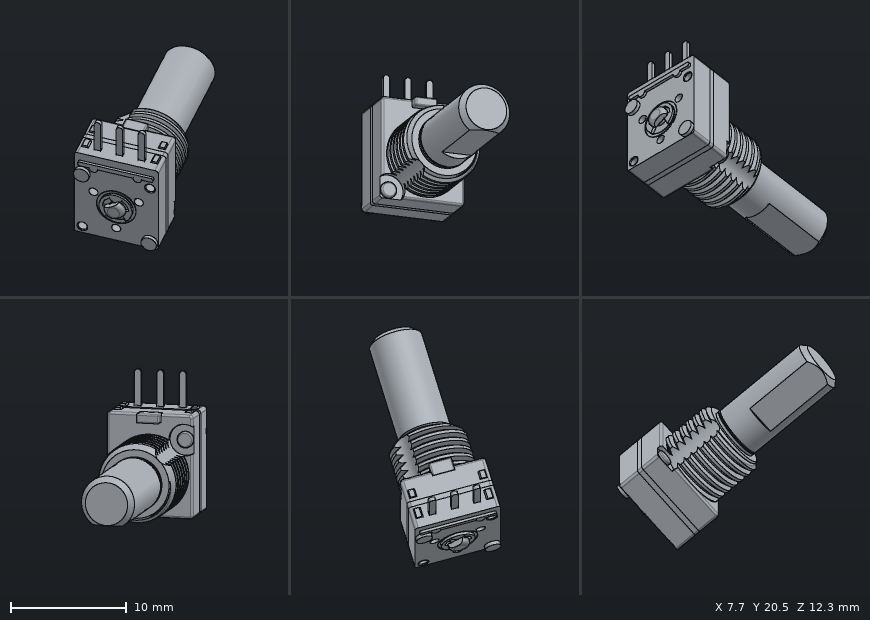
import cadquery as cq
import math


case_width = 7.7
case_top = 5.3
case_bottom = -3.83
top_corner_radius = 0.3
bottom_corner_radius = 0.25
cover_front = 2.05
plate_thickness = 0.5
housing_rear = cover_front + plate_thickness
housing_front = 4.78
housing_edge_fillet = 0.2

corner_offset = 3.1
rivet_corners = [(-corner_offset, corner_offset), (corner_offset, -corner_offset)]
hole_corners = [(corner_offset, corner_offset), (-corner_offset, -corner_offset)]
shank_radius = 0.4
corner_hole_radius = 0.4
corner_hole_chamfer = 0.08
rivet_head_radius = 0.72
rear_head_height = 0.35
front_head_height = 0.33
front_head_fillet = 0.12
rivet_recess_radius = 1.4
rivet_recess_depth = 0.45
rivet_seat = housing_front - rivet_recess_depth

tab_outer = 3.48
tab_inner = 2.85
tab_outer_draft = 0.06
tab_inner_draft = 0.12
tab_height = 0.18
cover_tab_rear = 0.88
cover_tab_length = 0.88
housing_tab_rear = 2.85
housing_tab_length = 0.72

lug_width = 2.05
lug_rise = 0.06
lug_bottom = 4.55
lug_reach = 0.78
lug_rear = rivet_seat
lug_fillet = 0.12

bushing_radius = 3.5
bushing_front = 9.78
bushing_chamfer = 0.5
thread_pitch = 2.25 / 3
thread_crest = 0.29
thread_half_angle = math.radians(30)
thread_depth = (thread_pitch - thread_crest) / 2 / math.tan(thread_half_angle)
thread_start = 4.04
thread_turns = 9

shaft_radius = 2.38
tip_rear = -0.74
shaft_front = tip_rear + 20.5
shaft_end_chamfer = 0.5
shaft_flat_z = -1.95
shaft_flat_rear = 12.75
neck_rear = 10.05
neck_front = 10.25
neck_radius = 2.25
journal_radius = 1.4
tip_radius = 0.96
tip_round = 0.4
tip_half_width = 0.64
tip_angle = 29

clip_seat_depth = 0.1
clip_seat_radius = 1.8
clip_radius = 1.52
clip_rear = -0.18
journal_clearance = 0.05
clip_groove_radius = tip_half_width
clip_void_radius = 1.19
clip_void_angles = (31, 149)
clip_void_inner_half = 0.45
clip_void_inner_reach = 0.51
clip_void_outer_half = 0.68
clip_void_outer_reach = 1.23
clip_gap_inner_half = 0.33
clip_gap_outer_half = 1.15

bar_half_length = 3.45
bar_bottom = 4.08
bar_top = 4.5
bar_height = 0.25
bar_corner_radius = 0.16
bump_radius = 0.39
rear_hole_radius = 0.4
rear_hole_circle = 2.4
rear_hole_angles = (30, 150, 270)

pin_spacing = 2.0
pin_positions = (-pin_spacing, 0, pin_spacing)
pin_width = 0.6
pin_thickness = 0.35
pin_rear = 0.86
pin_top = 8.5
pin_bottom = bar_bottom


def cylinder(radius, rear, front, x=0, z=0):
    """Cylinder parallel to the shaft between two Y positions."""
    return cq.Workplane("XZ", origin=(x, rear, z)).circle(radius).extrude(rear - front)


def block(x_min, x_max, rear, front, z_min, z_max):
    size = (x_max - x_min, front - rear, z_max - z_min)
    return cq.Workplane("XY", origin=(x_min, rear, z_min)).box(*size, centered=False)


def case_slice(rear, front):
    """Length of the case with rounded corners."""
    half = case_width / 2
    body = block(-half, half, rear, front, case_bottom, case_top)
    body = body.edges("|Y and >Z").fillet(top_corner_radius)
    return body.edges("|Y and <Z").fillet(bottom_corner_radius)


def drill_rivet_holes(body, rear, front):
    for x, z in rivet_corners:
        body = body.cut(cylinder(shank_radius, rear, front, x, z))
    return body


def top_tabs(rear, length):
    """Pair of low tabs with sloped sides, rooted in the top face."""
    z_top = case_top + tab_height
    right = (
        cq.Workplane("XZ", origin=(0, rear, 0))
        .moveTo(tab_inner, case_top - tab_height)
        .lineTo(tab_inner, case_top)
        .lineTo(tab_inner + tab_inner_draft, z_top)
        .lineTo(tab_outer - tab_outer_draft, z_top)
        .lineTo(tab_outer, case_top)
        .lineTo(tab_outer, case_top - tab_height)
        .close()
        .extrude(-length)
    )
    return right.union(right.mirror("YZ"))


def make_pin(x):
    """Flat pin with a fully rounded upper end."""
    half = pin_width / 2
    pin_front = pin_rear + pin_thickness
    tip_center = pin_top - half
    pin = block(x - half, x + half, pin_rear, pin_front, pin_bottom, tip_center)
    return pin.union(cylinder(half, pin_rear, pin_front, x, tip_center))


def make_cover():
    cover = case_slice(0, cover_front)
    cover = cover.union(top_tabs(cover_tab_rear, cover_tab_length))

    bar = block(-bar_half_length, bar_half_length, -bar_height, 0, bar_bottom, bar_top)
    bar = bar.edges("|Y").fillet(bar_corner_radius)
    for x in (-pin_spacing, pin_spacing):
        bar = bar.union(cylinder(bump_radius, -bar_height, 0, x, bar_bottom))
    cover = cover.union(bar)

    cover = cover.cut(cylinder(journal_radius + journal_clearance, 0, cover_front))
    cover = cover.cut(cylinder(clip_seat_radius, 0, clip_seat_depth))

    for angle in rear_hole_angles:
        x = rear_hole_circle * math.cos(math.radians(angle))
        z = rear_hole_circle * math.sin(math.radians(angle))
        cover = cover.cut(cylinder(rear_hole_radius, 0, cover_front, x, z))

    cover = drill_rivet_holes(cover, 0, cover_front)
    mouth_radius = corner_hole_radius + corner_hole_chamfer
    for x, z in hole_corners:
        cover = cover.cut(cylinder(corner_hole_radius, 0, cover_front, x, z))
        position = cq.Vector(x, 0, z)
        along_shaft = cq.Vector(0, 1, 0)
        countersink = cq.Solid.makeCone(
            mouth_radius, corner_hole_radius, corner_hole_chamfer, position, along_shaft
        )
        cover = cover.cut(cq.Workplane(countersink))

    for x in pin_positions:
        cover = cover.cut(make_pin(x))
    return cover


def make_plate():
    """Thin plate clamped between cover and housing."""
    plate = case_slice(cover_front, housing_rear)
    plate = plate.cut(cylinder(journal_radius + journal_clearance, cover_front, housing_rear))
    return drill_rivet_holes(plate, cover_front, housing_rear)


def threaded_bar():
    """Bar longer than the bushing with a right-handed, sharp V groove wound inside its length."""
    overshoot = 0.1
    mouth_half = (thread_depth + overshoot) * math.tan(thread_half_angle)
    root_radius = bushing_radius - thread_depth
    mouth_radius = bushing_radius + overshoot
    helix = cq.Wire.makeHelix(thread_pitch, thread_pitch * thread_turns, root_radius)
    groove = (
        cq.Workplane("XZ")
        .moveTo(root_radius, 0)
        .lineTo(mouth_radius, -mouth_half)
        .lineTo(mouth_radius, mouth_half)
        .close()
        .sweep(cq.Workplane(helix), isFrenet=True)
    )
    groove = groove.rotate((0, 0, 0), (1, 0, 0), -90).translate((0, thread_start, 0))
    thread_end = thread_start + thread_turns * thread_pitch
    bar = cylinder(bushing_radius, thread_start - thread_pitch, thread_end + thread_pitch)
    return bar.cut(groove)


def make_housing():
    housing = case_slice(housing_rear, housing_front)
    housing = housing.faces(">Y").edges().fillet(housing_edge_fillet)
    housing = housing.union(top_tabs(housing_tab_rear, housing_tab_length))

    lug_front = housing_front + lug_reach
    lug = block(-lug_width / 2, lug_width / 2, lug_rear, lug_front, lug_bottom, case_top + lug_rise)
    lug = lug.edges("|Y or >Y").fillet(lug_fillet)
    housing = housing.union(lug)

    bushing = cylinder(bushing_radius, housing_front, bushing_front)
    bushing = bushing.faces(">Y").chamfer(bushing_chamfer)
    housing = housing.union(bushing.intersect(threaded_bar()))

    housing = housing.cut(cylinder(shaft_radius, housing_rear, bushing_front))
    for x, z in rivet_corners:
        housing = housing.cut(cylinder(rivet_recess_radius, rivet_seat, bushing_front, x, z))
    return drill_rivet_holes(housing, housing_rear, housing_front)


def make_shaft():
    round_middle = tip_round * math.sqrt(0.5)
    dome = (tip_radius - tip_round + round_middle, tip_rear + tip_round - round_middle)
    shaft = (
        cq.Workplane("XY")
        .moveTo(0, tip_rear)
        .lineTo(tip_radius - tip_round, tip_rear)
        .threePointArc(dome, (tip_radius, tip_rear + tip_round))
        .lineTo(tip_radius, clip_rear)
        .lineTo(clip_groove_radius, clip_rear)
        .lineTo(clip_groove_radius, clip_seat_depth)
        .lineTo(journal_radius, clip_seat_depth)
        .lineTo(journal_radius, housing_rear)
        .lineTo(shaft_radius, housing_rear)
        .lineTo(shaft_radius, neck_rear)
        .lineTo(neck_radius, neck_rear)
        .lineTo(neck_radius, neck_front - (shaft_radius - neck_radius))
        .lineTo(shaft_radius, neck_front)
        .lineTo(shaft_radius, shaft_front - shaft_end_chamfer)
        .lineTo(shaft_radius - shaft_end_chamfer, shaft_front)
        .lineTo(0, shaft_front)
        .close()
        .revolve(360, (0, 0, 0), (0, 1, 0))
    )

    flat = block(-shaft_radius, shaft_radius, shaft_flat_rear, shaft_front, -shaft_radius, shaft_flat_z)
    shaft = shaft.cut(flat)

    upper_flat = block(-tip_radius, tip_radius, tip_rear, clip_rear, tip_half_width, tip_radius)
    for angle in (tip_angle, tip_angle + 180):
        shaft = shaft.cut(upper_flat.rotate((0, 0, 0), (0, 1, 0), -angle))
    return shaft


def make_clip():
    """E-shaped retaining clip: a ring with three prongs, open at the bottom."""
    clip = cylinder(clip_radius, clip_rear, clip_seat_depth)
    clip = clip.cut(cylinder(clip_groove_radius, clip_rear, clip_seat_depth))
    thickness = clip_seat_depth - clip_rear

    void = (
        cq.Workplane("XZ", origin=(0, clip_rear, 0))
        .moveTo(clip_void_inner_reach, -clip_void_inner_half)
        .lineTo(clip_void_outer_reach, -clip_void_outer_half)
        .lineTo(clip_void_outer_reach, clip_void_outer_half)
        .lineTo(clip_void_inner_reach, clip_void_inner_half)
        .close()
        .extrude(-thickness)
        .intersect(cylinder(clip_void_radius, clip_rear, clip_seat_depth))
    )
    for angle in clip_void_angles:
        clip = clip.cut(void.rotate((0, 0, 0), (0, 1, 0), -angle))

    gap_depth = 2 * (clip_gap_outer_half - clip_gap_inner_half)
    opening = (
        cq.Workplane("XZ", origin=(0, clip_rear, 0))
        .moveTo(-clip_gap_inner_half, 0)
        .lineTo(clip_gap_inner_half, 0)
        .lineTo(clip_gap_outer_half, -gap_depth)
        .lineTo(-clip_gap_outer_half, -gap_depth)
        .close()
        .extrude(-thickness)
    )
    return clip.cut(opening)


def make_rivet(x, z):
    """Rivet with a rounded head in the housing recess and a flat head behind the cover."""
    shank = cylinder(shank_radius, 0, rivet_seat, x, z)
    rear_head = cylinder(rivet_head_radius, -rear_head_height, 0, x, z)
    front_head = cylinder(rivet_head_radius, rivet_seat, rivet_seat + front_head_height, x, z)
    front_head = front_head.faces(">Y").edges().fillet(front_head_fillet)
    return shank.union(rear_head).union(front_head)


housing = make_housing()
cover = make_cover()
shaft = make_shaft()
clip = make_clip()
plate = make_plate()
pins = [make_pin(x) for x in pin_positions]
rivets = [make_rivet(x, z) for x, z in rivet_corners]

result = cq.Compound.makeCompound(
    [housing.val(), plate.val(), cover.val(), shaft.val(), clip.val()]
    + [body.val() for body in pins + rivets]
)